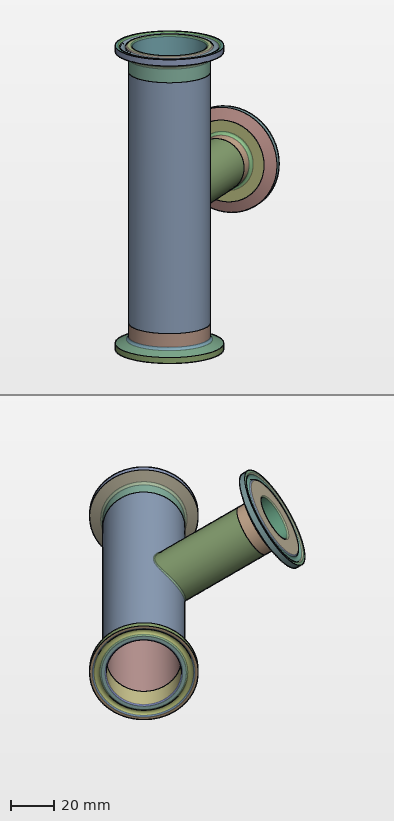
import cadquery as cq
import math

RUN_LENGTH = 146.0
BRANCH_REACH = 73.0
RUN_RADIUS = 38.1 / 2
RUN_BORE_RADIUS = 17.4
BRANCH_RADIUS = 12.7
BRANCH_BORE_RADIUS = 11.1
JUNCTION_FILLET = 0.7

FERRULE_LENGTH = 12.7
FLANGE_RADIUS = 50.4 / 2
RIM_THICKNESS = 2.9
FLANGE_THICKNESS = 5.0
BACK_ANGLE = 20.0
NECK_FILLET = 1.5
MOUTH_FILLET = 0.6

GROOVE_CENTER_RADIUS = 21.8
GROOVE_WIDTH = 2.9
GROOVE_DEPTH = 1.5
GROOVE_EDGE_FILLET = 0.7

EDGE_TOLERANCE = 0.001

TEE_HALF_LENGTH = RUN_LENGTH / 2 - FERRULE_LENGTH
TEE_BRANCH_REACH = BRANCH_REACH - FERRULE_LENGTH


def make_tee():
    """Run tube with a branch tube, bored through into each other."""
    def run_cylinder(radius):
        return cq.Workplane("XY").circle(radius).extrude(TEE_HALF_LENGTH, both=True)

    def branch_cylinder(radius):
        return cq.Workplane("XZ").circle(radius).extrude(-TEE_BRANCH_REACH)

    outside = run_cylinder(RUN_RADIUS).union(branch_cylinder(BRANCH_RADIUS))
    junction = cq.selectors.BoxSelector(
        (-RUN_RADIUS, 0, -RUN_RADIUS), (RUN_RADIUS, TEE_BRANCH_REACH / 2, RUN_RADIUS), boundingbox=True
    )
    outside = outside.edges(junction).fillet(JUNCTION_FILLET)
    return outside.cut(run_cylinder(RUN_BORE_RADIUS)).cut(branch_cylinder(BRANCH_BORE_RADIUS))


def round_circle(ferrule, radius, depth, fillet_radius):
    """Fillet the circular edge of this radius at this depth below the face."""
    def matches(edge):
        same_radius = edge.geomType() == "CIRCLE" and abs(edge.radius() - radius) < EDGE_TOLERANCE
        return same_radius and abs(edge.Center().z + depth) < EDGE_TOLERANCE

    return ferrule.edges().filter(matches).fillet(fillet_radius)


def make_ferrule(tube_radius, bore_radius):
    """Ferrule on the Z axis, with its face at Z = 0 and its neck pointing down."""
    back_slope = math.tan(math.radians(BACK_ANGLE))
    back_radius = FLANGE_RADIUS - (FLANGE_THICKNESS - RIM_THICKNESS) / back_slope
    has_flat = back_radius - tube_radius > NECK_FILLET
    back_end_radius = back_radius if has_flat else tube_radius
    back_depth = RIM_THICKNESS + (FLANGE_RADIUS - back_end_radius) * back_slope

    outline = [
        (bore_radius, 0),
        (FLANGE_RADIUS, 0),
        (FLANGE_RADIUS, -RIM_THICKNESS),
        (back_end_radius, -back_depth),
    ]
    if has_flat:
        outline.append((tube_radius, -back_depth))
    outline += [(tube_radius, -FERRULE_LENGTH), (bore_radius, -FERRULE_LENGTH)]
    ferrule = cq.Workplane("XZ").polyline(outline).close().revolve(360, (0, 0), (0, 1))

    ferrule = round_circle(ferrule, tube_radius, back_depth, NECK_FILLET)
    ferrule = round_circle(ferrule, bore_radius, 0, MOUTH_FILLET)
    return cut_gasket_groove(ferrule)


def cut_gasket_groove(ferrule):
    """Round-bottomed ring groove with rounded edges."""
    inner_radius = GROOVE_CENTER_RADIUS - GROOVE_WIDTH / 2
    outer_radius = GROOVE_CENTER_RADIUS + GROOVE_WIDTH / 2
    groove = (
        cq.Workplane("XZ")
        .moveTo(inner_radius, 0)
        .threePointArc((GROOVE_CENTER_RADIUS, -GROOVE_DEPTH), (outer_radius, 0))
        .close()
        .revolve(360, (0, 0), (0, 1))
    )
    grooved = ferrule.cut(groove)
    for radius in (inner_radius, outer_radius):
        grooved = round_circle(grooved, radius, 0, GROOVE_EDGE_FILLET)
    return grooved


tee = make_tee()

run_ferrules = []
for flip_angle in (0, 180):
    raised = make_ferrule(RUN_RADIUS, RUN_BORE_RADIUS).translate((0, 0, RUN_LENGTH / 2))
    run_ferrules.append(raised.rotate((0, 0, 0), (1, 0, 0), flip_angle).val())

branch_ferrule = (
    make_ferrule(BRANCH_RADIUS, BRANCH_BORE_RADIUS)
    .translate((0, 0, BRANCH_REACH))
    .rotate((0, 0, 0), (1, 0, 0), -90)
)

result = cq.Compound.makeCompound([tee.val(), *run_ferrules, branch_ferrule.val()])